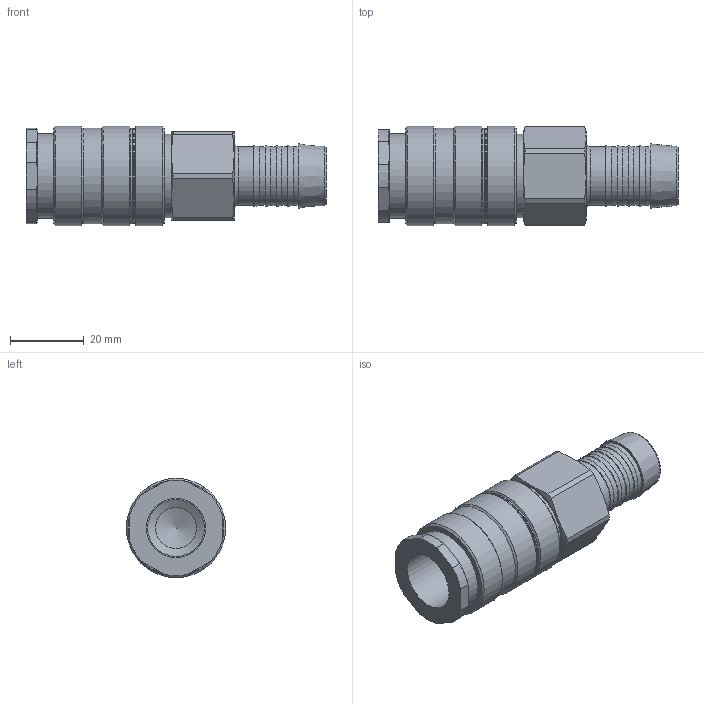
import cadquery as cq
import math

total_length = 81.5

collar_length = 3.0
collar_diameter = 26.0
collar_across_flats = 25.0
collar_chamfer = 0.25
collar_turn = 30.0

body_start = 7.5
body_end = 37.5
neck_diameter = 23.0
rear_neck_diameter = 22.7
body_diameter = 27.0
waist_diameter = 26.0
body_chamfer = 0.5
waist_start = 15.0
waist_end = 21.0
groove_center = 28.95
groove_width = 1.7
groove_flank = 0.3
slit_width = 0.3
slit_diameter = 25.6

hex_start = 39.5
hex_end = 56.6
hex_across_flats = 24.0
hex_corner_diameter = 26.9
hex_face_diameter = 23.5
hex_chamfer_slope = 15.0

barb_diameter = 16.0
barb_root_radius = 1.0
tooth_diameter = 16.5
tooth_length = 1.5
first_tooth_start = 61.9
tooth_pitch = 3.05
tooth_count = 4
head_start = 73.9
head_diameter = 17.5
tip_chamfer = 0.4
tip_diameter = 15.4

bore_diameter = 16.0
bore_depth = 25.0
seat_diameter = 15.4
cone_diameter = 11.1
seat_cone_slope = 30.0
point_cone_slope = 20.0

hex_corner_ratio = 1 / math.cos(math.radians(30))


def revolve_profile(points):
    """Solid of revolution about X from (x, diameter) points, closed along the axis."""
    outline = [(x, diameter / 2) for x, diameter in points]
    first_x = outline[0][0]
    last_x, last_radius = outline[-1]
    outline = [(first_x, 0)] + outline
    if last_radius > 0:
        outline.append((last_x, 0))
    return cq.Workplane("XY").polyline(outline).close().revolve(360, (0, 0, 0), (1, 0, 0))


def hex_bar(start, end, across_flats, turn):
    """Hexagonal bar along X; with no turn two flats face up and down."""
    bar = cq.Workplane("YZ", origin=(start, 0, 0)).polygon(6, across_flats * hex_corner_ratio)
    return bar.extrude(end - start).rotate((0, 0, 0), (1, 0, 0), turn)


def make_collar():
    """Collar with flats facing +Y and -Y and a small chamfer on its inner side."""
    turned = revolve_profile([
        (0, collar_diameter),
        (collar_length - collar_chamfer, collar_diameter),
        (collar_length, collar_diameter - 2 * collar_chamfer),
    ])
    return turned.intersect(hex_bar(0, collar_length, collar_across_flats, collar_turn))


def make_body():
    """Necks at both ends and the sleeve with its waist, groove and slit."""
    end_diameter = body_diameter - 2 * body_chamfer
    groove_left = groove_center - groove_width / 2
    groove_right = groove_center + groove_width / 2
    slit_left = groove_center - slit_width / 2
    slit_right = groove_center + slit_width / 2
    sleeve = revolve_profile([
        (body_start, end_diameter),
        (body_start + body_chamfer, body_diameter),
        (waist_start, body_diameter),
        (waist_start + body_chamfer, waist_diameter),
        (waist_end - body_chamfer, waist_diameter),
        (waist_end, body_diameter),
        (groove_left, body_diameter),
        (groove_left + groove_flank, waist_diameter),
        (slit_left, waist_diameter),
        (slit_left, slit_diameter),
        (slit_right, slit_diameter),
        (slit_right, waist_diameter),
        (groove_right - groove_flank, waist_diameter),
        (groove_right, body_diameter),
        (body_end - body_chamfer, body_diameter),
        (body_end, end_diameter),
    ])
    neck = revolve_profile([
        (0, neck_diameter),
        (body_end, neck_diameter),
        (body_end, rear_neck_diameter),
        (hex_start, rear_neck_diameter),
    ])
    return neck.union(sleeve)


def make_wrench_hex():
    """Hexagon with flats facing up and down, turned at its corners and both ends."""
    run = (hex_corner_diameter - hex_face_diameter) / 2 * math.tan(math.radians(hex_chamfer_slope))
    turned = revolve_profile([
        (hex_start, hex_face_diameter),
        (hex_start + run, hex_corner_diameter),
        (hex_end - run, hex_corner_diameter),
        (hex_end, hex_face_diameter),
    ])
    return turned.intersect(hex_bar(hex_start, hex_end, hex_across_flats, 0))


def make_barb():
    """Hose stem with sawtooth rings and a tapered head."""
    points = [(hex_end, barb_diameter)]
    for index in range(tooth_count):
        start = first_tooth_start + index * tooth_pitch
        points += [
            (start, barb_diameter),
            (start, tooth_diameter),
            (start + tooth_length, barb_diameter),
        ]
    points += [
        (head_start, barb_diameter),
        (head_start, head_diameter),
        (total_length - tip_chamfer, barb_diameter),
        (total_length, tip_diameter),
    ]
    return revolve_profile(points).union(make_barb_root())


def make_barb_root():
    """Concave fillet where the barb meets the wrench hexagon."""
    barb_radius = barb_diameter / 2
    arc_drop = barb_root_radius * (1 - math.sqrt(0.5))
    profile = (
        cq.Workplane("XY")
        .moveTo(hex_end, 0)
        .lineTo(hex_end, barb_radius + barb_root_radius)
        .threePointArc(
            (hex_end + arc_drop, barb_radius + arc_drop),
            (hex_end + barb_root_radius, barb_radius),
        )
        .lineTo(hex_end + barb_root_radius, 0)
        .close()
    )
    return profile.revolve(360, (0, 0, 0), (1, 0, 0))


def make_bore():
    """Bore with a narrow shoulder, a conical seat and a flatter conical floor."""
    seat_cone_length = (seat_diameter - cone_diameter) / 2 * math.tan(math.radians(seat_cone_slope))
    point_length = cone_diameter / 2 * math.tan(math.radians(point_cone_slope))
    seat_cone_end = bore_depth + seat_cone_length
    return revolve_profile([
        (0, bore_diameter),
        (bore_depth, bore_diameter),
        (bore_depth, seat_diameter),
        (seat_cone_end, cone_diameter),
        (seat_cone_end + point_length, 0),
    ])


outside = make_body().union(make_collar()).union(make_wrench_hex()).union(make_barb())
result = outside.cut(make_bore())